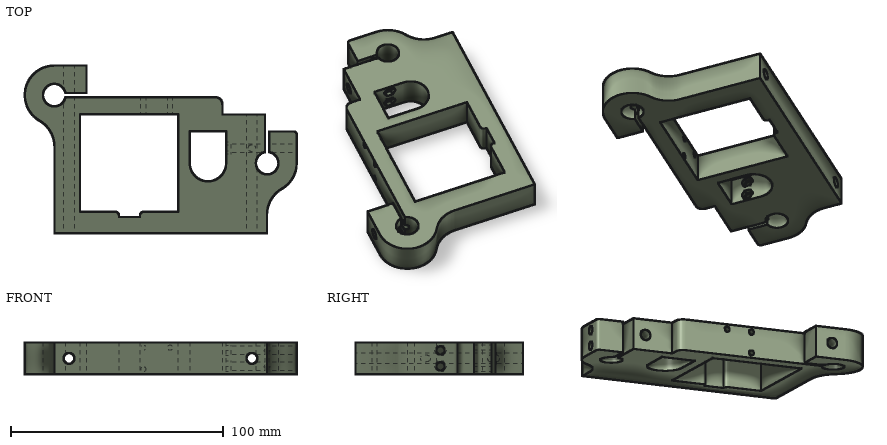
import cadquery as cq
import math

length = 128.0
width = 79.0
thickness = 15.0

clamp_radius = 14.0
rod_diameter = 10.5
slit = 1.9
left_rod = (clamp_radius, width - clamp_radius)
right_rod = (length - clamp_radius, 33.0)
left_arm_end = 29.2
right_arm_top = 48.0
right_arm_corner = 1.5

rear_edge = left_rod[1] - slit / 2
rear_step_x = 93.0
rear_step_y = 55.9
rear_corner = 3.3

window_left = 26.1
window_right = 72.2
window_front = 10.2
window_rear = rear_step_y
notch_left = 44.4
notch_right = 54.1
notch_depth = 2.4
notch_round = 1.9

opening_left = 77.7
opening_right = 94.7
opening_rear = right_arm_top

mount_diameter = 5.0
mount_xs = (20.9, 106.8)

pin_diameter = 2.4
pin_low_z = 2.4
pin_high_z = 12.5
pin_places = ((55.8, pin_low_z), (55.8, pin_high_z), (68.3, pin_high_z))

screw_diameter = 4.0
nut_corner_width = 5.6
nut_depth = 2.3
screw_y = 40.0
screw_zs = (thickness / 4, thickness * 3 / 4)


def box(x0, x1, y0, y1):
    """Full-height block between two corners."""
    return cq.Workplane("XY").box(x1 - x0, y1 - y0, thickness, centered=False).translate((x0, y0, 0))


def cylinder_z(center, diameter):
    return cq.Workplane("XY").center(*center).circle(diameter / 2).extrude(thickness)


def cylinder_y(x, y, z, diameter, depth):
    """Cylinder running toward +Y from the given point."""
    return cq.Workplane("XZ", origin=(x, y, z)).circle(diameter / 2).extrude(-depth)


def cylinder_x(x, y, z, diameter, depth):
    """Cylinder running toward +X from the given point."""
    return cq.Workplane("YZ", origin=(x, y, z)).circle(diameter / 2).extrude(depth)


def make_plate():
    """Outer shape: each clamp blends into the body by an equal, opposite arc."""
    r = clamp_radius
    blend_height = math.sqrt(3) * r
    turn = math.radians(30)
    mid_x = r * (1 - math.cos(turn))
    mid_y = r * math.sin(turn)
    lx, ly = left_rod
    rx, ry = right_rod
    left_base = ly - blend_height
    right_base = ry - blend_height
    return (
        cq.Workplane("XY")
        .moveTo(lx, 0)
        .lineTo(rx, 0)
        .lineTo(rx, right_base)
        .threePointArc((rx + mid_x, right_base + mid_y), (rx + r / 2, ry - blend_height / 2))
        .threePointArc((rx + r * math.cos(turn), ry - mid_y), (rx + r, ry))
        .lineTo(rx + r, right_arm_top)
        .lineTo(rx - slit / 2, right_arm_top)
        .lineTo(rx - slit / 2, rear_step_y)
        .lineTo(rear_step_x, rear_step_y)
        .lineTo(rear_step_x, rear_edge)
        .lineTo(left_arm_end, rear_edge)
        .lineTo(left_arm_end, width)
        .lineTo(lx, width)
        .threePointArc((lx - r * math.cos(turn), ly + mid_y), (lx - r / 2, ly - blend_height / 2))
        .threePointArc((lx - mid_x, left_base + mid_y), (lx, left_base))
        .close()
        .extrude(thickness)
    )


def round_corner(body, x, y, radius):
    corner = cq.selectors.BoxSelector((x - 0.1, y - 0.1, -1.3), (x + 0.1, y + 0.1, thickness + 1.3))
    return body.edges(corner).edges("|Z").fillet(radius)


result = make_plate()
result = round_corner(result, rear_step_x, rear_edge, rear_corner)
result = round_corner(result, length, right_arm_top, right_arm_corner)

for rod in (left_rod, right_rod):
    result = result.cut(cylinder_z(rod, rod_diameter))
result = result.cut(box(left_rod[0], left_arm_end, rear_edge, rear_edge + slit))
slit_left = right_rod[0] - slit / 2
result = result.cut(box(slit_left, slit_left + slit, right_rod[1], right_arm_top))

result = result.cut(box(window_left, window_right, window_front, window_rear))
result = result.cut(box(notch_left, notch_right, window_front - notch_depth, window_front))
for notch_x in (notch_left, notch_right):
    result = round_corner(result, notch_x, window_front, notch_round)

opening_radius = (opening_right - opening_left) / 2
opening_center = (opening_left + opening_radius, right_rod[1])
result = result.cut(box(opening_left, opening_right, opening_center[1], opening_rear))
result = result.cut(cylinder_z(opening_center, 2 * opening_radius))

for x in mount_xs:
    result = result.cut(cylinder_y(x, 0, thickness / 2, mount_diameter, width))

for x, z in pin_places:
    result = result.cut(cylinder_y(x, window_rear, z, pin_diameter, rear_edge - window_rear))

for z in screw_zs:
    result = result.cut(cylinder_x(opening_right, screw_y, z, screw_diameter, length - opening_right))
    nut_plane = cq.Workplane("YZ", origin=(opening_right, screw_y, z))
    result = result.cut(nut_plane.polygon(6, nut_corner_width).extrude(nut_depth))